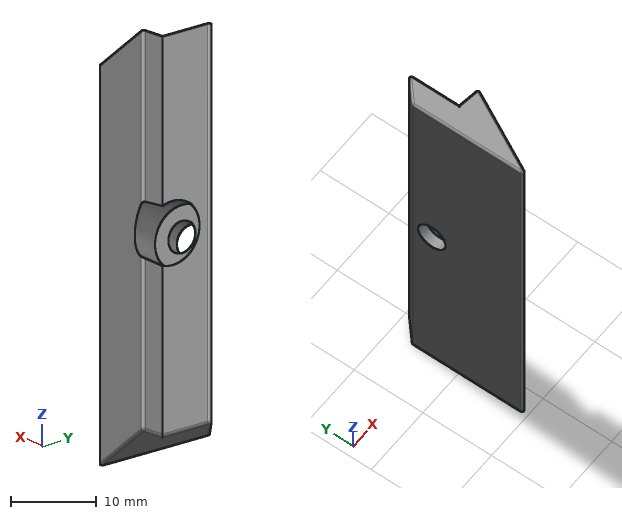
import cadquery as cq
import math

length = 50.0
width = 6.3
depth = 18.7
edge_radius = 0.3
shelf_x = 3.3
wedge_angle = 28.0
bevel_angle = 42.0
shoulder_angle = 8.0
hole_diameter = 4.0
counterbore_diameter = 8.0
floor_x = 1.6
hole_y = 13.2


def rounding_loss(corner_angle):
    """Distance from a sharp corner to the rounded extent, along a side of the corner."""
    return edge_radius / math.tan(math.radians(corner_angle / 2)) - edge_radius


tip_y = -rounding_loss(wedge_angle)
rear_y = depth + rounding_loss(90 - bevel_angle)
bevel_start_y = rear_y - shelf_x * math.tan(math.radians(bevel_angle))

nose_angle = 90 - wedge_angle + shoulder_angle
nose_bisector = math.radians(nose_angle / 2 - shoulder_angle)
nose_offset = edge_radius / math.sin(math.radians(nose_angle / 2))
nose_x = width - edge_radius + nose_offset * math.cos(nose_bisector)
nose_y = tip_y + nose_x / math.tan(math.radians(wedge_angle))
shoulder_y = nose_y + (nose_x - shelf_x) * math.tan(math.radians(shoulder_angle))


def make_body():
    """Barbed profile along Z, rounded on every edge but the inner shoulder corner."""
    corners = [
        (0, tip_y),
        (nose_x, nose_y),
        (shelf_x, shoulder_y),
        (shelf_x, rear_y),
        (0, bevel_start_y),
    ]
    body = cq.Workplane("XY").polyline(corners).close().extrude(length)
    inner_corner = cq.selectors.NearestToPointSelector((shelf_x, shoulder_y, length / 2))
    outer_edges = cq.selectors.StringSyntaxSelector("|Z") - inner_corner
    body = body.edges(outer_edges).fillet(edge_radius)
    return body.faces("<Z or >Z").edges().fillet(edge_radius)


def cylinder_along_x(diameter, start_x, end_x):
    """Cutter on the hole axis, halfway up the part."""
    return (
        cq.Workplane("YZ", origin=(start_x, hole_y, length / 2))
        .circle(diameter / 2)
        .extrude(end_x - start_x)
    )


hole = cylinder_along_x(hole_diameter, 0, width)
counterbore = cylinder_along_x(counterbore_diameter, floor_x, width)

result = make_body().cut(hole).cut(counterbore)